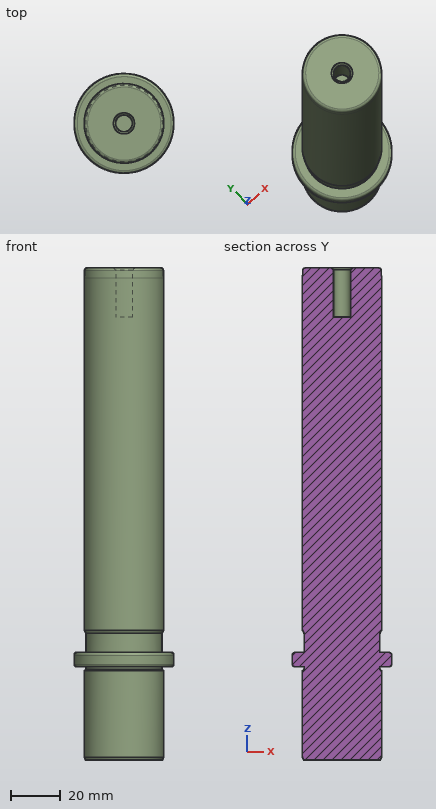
import cadquery as cq

LENGTH = 197.0
SHAFT_RADIUS = 32.0 / 2
NECK_RADIUS = 30.5 / 2
FLANGE_RADIUS = 40.0 / 2

FLANGE_BOTTOM = 37.2
FLANGE_THICKNESS = 6.0
NECK_LENGTH = 8.9
FLANGE_TOP = FLANGE_BOTTOM + FLANGE_THICKNESS
NECK_TOP = FLANGE_TOP + NECK_LENGTH

FLANGE_FILLET = 1.2
NECK_STEP_HEIGHT = 1.2
RELIEF_LENGTH = 1.0
RELIEF_STEP_HEIGHT = 0.5
BOTTOM_CHAMFER_HEIGHT = 1.2
BOTTOM_RADIUS = 30.7 / 2
LEAD_LENGTH = 4.0
LEAD_RADIUS = 31.5 / 2
TOP_FILLET = 1.2

HOLE_RADIUS = 6.7 / 2
HOLE_MOUTH_RADIUS = 8.5 / 2
HOLE_CHAMFER = HOLE_MOUTH_RADIUS - HOLE_RADIUS
HOLE_DEPTH = 19.7


def make_pin():
    """Shank, neck and shaft turned as one profile, without the flange."""
    profile = [
        (0, 0),
        (BOTTOM_RADIUS, 0),
        (SHAFT_RADIUS, BOTTOM_CHAMFER_HEIGHT),
        (SHAFT_RADIUS, FLANGE_BOTTOM - RELIEF_LENGTH - RELIEF_STEP_HEIGHT),
        (NECK_RADIUS, FLANGE_BOTTOM - RELIEF_LENGTH),
        (NECK_RADIUS, NECK_TOP - NECK_STEP_HEIGHT),
        (SHAFT_RADIUS, NECK_TOP),
        (SHAFT_RADIUS, LENGTH - LEAD_LENGTH),
        (LEAD_RADIUS, LENGTH),
        (0, LENGTH),
    ]
    pin = cq.Workplane("XZ").polyline(profile).close().revolve(360, (0, 0), (0, 1))
    return pin.faces(">Z").edges().fillet(TOP_FILLET)


def make_flange():
    """Collar with both rims rounded."""
    flange = cq.Workplane("XY").workplane(offset=FLANGE_BOTTOM)
    flange = flange.circle(FLANGE_RADIUS).extrude(FLANGE_THICKNESS)
    return flange.edges("%CIRCLE").fillet(FLANGE_FILLET)


def make_centre_hole():
    """Cutter for the blind hole with a chamfered mouth."""
    profile = [
        (0, LENGTH - HOLE_DEPTH),
        (HOLE_RADIUS, LENGTH - HOLE_DEPTH),
        (HOLE_RADIUS, LENGTH - HOLE_CHAMFER),
        (HOLE_MOUTH_RADIUS, LENGTH),
        (0, LENGTH),
    ]
    return cq.Workplane("XZ").polyline(profile).close().revolve(360, (0, 0), (0, 1))


result = make_pin().union(make_flange()).cut(make_centre_hole())